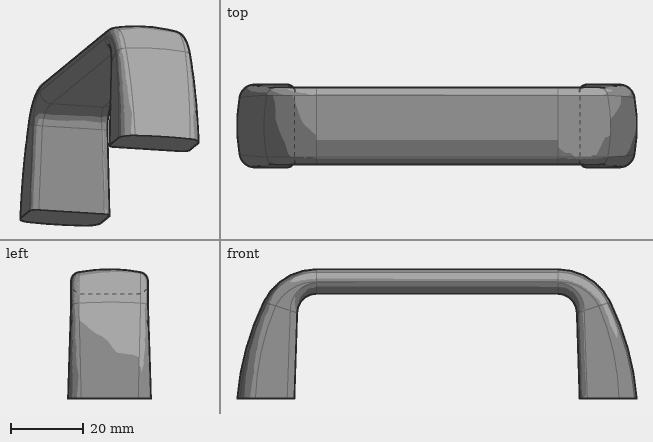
import cadquery as cq
import math

length = 110.8
height = 35.9
foot_width = 23.0
grip_width = 21.4

grip_thickness = 6.9
foot_depth = 16.0
bend_end_x = -33.5
outer_bend_radius = 16.2
outer_bend_angle = 64.0
inner_bend_radius = 5.2

crown_radius = 44.3
foot_outer_round = 4.4
grip_outer_round = 2.7
leg_inner_round = 2.1
grip_inner_round = 3.2

LEG_STEPS = 4
BEND_STEPS = 5

outer_center = (bend_end_x, height - outer_bend_radius)
inner_center = (bend_end_x, height - grip_thickness - inner_bend_radius)
foot_outer = (-length / 2, 0.0)
foot_inner = (-length / 2 + foot_depth, 0.0)
leg_top_inner = (inner_center[0] - inner_bend_radius, inner_center[1])


def blend(start, end, fraction):
    return start + (end - start) * fraction


def on_circle(center, radius, angle):
    """Point in XZ on a circle, with the angle in radians turning from -X towards +Z."""
    return (center[0] - radius * math.cos(angle), center[1] + radius * math.sin(angle))


bend_start_angle = math.radians(90 - outer_bend_angle)
leg_top_outer = on_circle(outer_center, outer_bend_radius, bend_start_angle)

chord_x = leg_top_outer[0] - foot_outer[0]
chord_z = leg_top_outer[1] - foot_outer[1]
chord_angle = math.atan2(chord_z, chord_x)
half_sweep = chord_angle - math.radians(outer_bend_angle)
leg_radius = math.hypot(chord_x, chord_z) / (2 * math.sin(half_sweep))
leg_center = (
    leg_top_outer[0] + leg_radius * math.cos(bend_start_angle),
    leg_top_outer[1] - leg_radius * math.sin(bend_start_angle),
)
foot_angle = bend_start_angle - 2 * half_sweep


def section(inner, outer, width, outer_round, inner_round):
    """Closed wire across the handle, from its inner face to its crowned outer face."""
    depth_x = outer[0] - inner[0]
    depth_z = outer[1] - inner[1]
    depth = math.hypot(depth_x, depth_z)
    side = width / 2

    crown_center = depth - crown_radius
    corner_x = side - outer_round
    corner_reach = crown_radius - outer_round
    corner_y = crown_center + math.sqrt(corner_reach**2 - corner_x**2)
    crown_angle = math.acos(corner_x / corner_reach)
    crown_end_x = crown_radius * math.cos(crown_angle)
    crown_end_y = crown_center + crown_radius * math.sin(crown_angle)
    outer_mid_x = corner_x + outer_round * math.cos(crown_angle / 2)
    outer_mid_y = corner_y + outer_round * math.sin(crown_angle / 2)

    inner_flat = side - inner_round
    inner_mid_x = inner_flat + inner_round * math.sqrt(0.5)
    inner_mid_y = inner_round * (1 - math.sqrt(0.5))

    plane = cq.Plane(
        origin=(inner[0], 0, inner[1]),
        xDir=(0, 1, 0),
        normal=(depth_z, 0, -depth_x),
    )
    outline = (
        cq.Workplane(plane)
        .moveTo(-inner_flat, 0)
        .lineTo(inner_flat, 0)
        .threePointArc((inner_mid_x, inner_mid_y), (side, inner_round))
        .lineTo(side, corner_y)
        .threePointArc((outer_mid_x, outer_mid_y), (crown_end_x, crown_end_y))
        .threePointArc((0, depth), (-crown_end_x, crown_end_y))
        .threePointArc((-outer_mid_x, outer_mid_y), (-side, corner_y))
        .lineTo(-side, inner_round)
        .threePointArc((-inner_mid_x, inner_mid_y), (-inner_flat, 0))
        .close()
    )
    return outline.wires().val()


def leg_section(fraction):
    angle = blend(foot_angle, bend_start_angle, fraction)
    outer = on_circle(leg_center, leg_radius, angle)
    inner = (
        blend(foot_inner[0], leg_top_inner[0], fraction),
        blend(foot_inner[1], leg_top_inner[1], fraction),
    )
    width = blend(foot_width, grip_width, fraction)
    outer_round = blend(foot_outer_round, grip_outer_round, fraction)
    return section(inner, outer, width, outer_round, leg_inner_round)


def bend_section(fraction):
    outer_angle = blend(bend_start_angle, math.pi / 2, fraction)
    outer = on_circle(outer_center, outer_bend_radius, outer_angle)
    inner = on_circle(inner_center, inner_bend_radius, fraction * math.pi / 2)
    inner_round = blend(leg_inner_round, grip_inner_round, fraction)
    return section(inner, outer, grip_width, grip_outer_round, inner_round)


leg = cq.Solid.makeLoft([leg_section(i / LEG_STEPS) for i in range(LEG_STEPS + 1)])
bend = cq.Solid.makeLoft([bend_section(i / BEND_STEPS) for i in range(BEND_STEPS + 1)])
grip = cq.Solid.extrudeLinear(bend_section(1.0), [], cq.Vector(-bend_end_x, 0, 0))

half = cq.Workplane(obj=leg).union(cq.Workplane(obj=bend)).union(cq.Workplane(obj=grip))
result = half.union(half.mirror("YZ"))